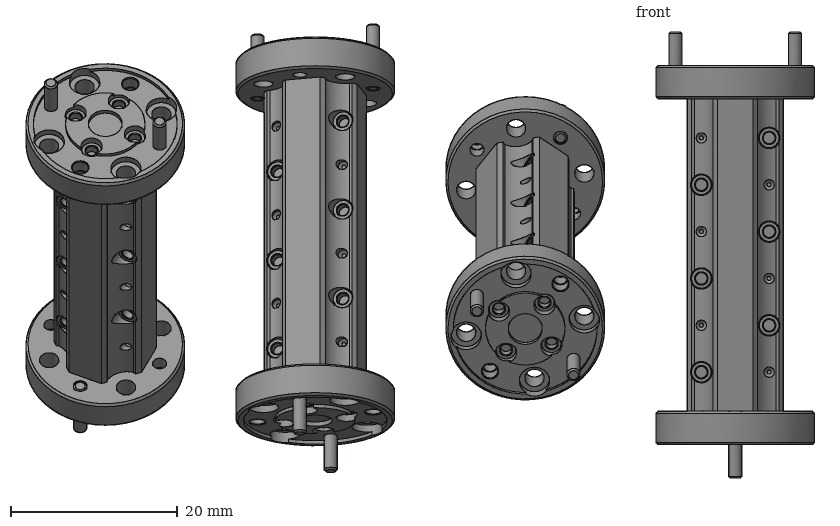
import cadquery as cq
import math

total_length = 53.45
flange_thickness = 4.0
pin_projection = 4.0
body_length = total_length - 2 * (flange_thickness + pin_projection)

body_half_width = 5.8
flat_half_width = 2.15
groove_half_width = 1.8
groove_floor_half_width = 1.65
groove_wall_depth = 0.3
groove_depth = 0.85

head_diameter = 2.35
head_gap_depth = 0.55
socket_diameter = 1.4
socket_chamfer = 0.1
socket_depth = 1.05

screw_offset = 4.05
screw_pitch = 5.6
screws_per_side = 6
screw_bore_diameter = 2.55
screw_head_y = 2.45
small_hole_diameter = 1.25
small_hole_tip_diameter = 0.5
small_hole_floor = 1.85

flange_diameter = 19.05
flange_chamfer = 0.25
recess_diameter = 17.2
recess_depth = 0.45
boss_diameter = 9.5
center_pocket_diameter = 4.05
center_pocket_depth = 0.55
bolt_circle_radius = 7.15
bolt_diameter = 2.3
bolt_bore_diameter = 3.65
bolt_bore_depth = 1.3
inner_screw_radius = 3.9
inner_bore_diameter = 2.5
inner_bore_depth = 0.8

pin_diameter = 1.6
pin_chamfer = 0.2
pin_hole_diameter = 1.65
pin_entry_diameter = 1.85
pin_entry_depth = 2.15
pin_entry_chamfer = 0.1


def cylinder(diameter, z_low, z_high, x=0.0, y=0.0):
    """Vertical cylinder centred on (x, y)."""
    return cq.Workplane("XY", origin=(x, y, z_low)).circle(diameter / 2).extrude(z_high - z_low)


def countersink(hole_diameter, width):
    """45-degree cone that widens a hole towards its mouth at Z = 0."""
    cone = cq.Solid.makeCone(hole_diameter / 2, hole_diameter / 2 + width, width)
    return cq.Workplane(cone).translate((0, 0, -width))


def polar_points(radius, start_angle, count):
    """Points equally spaced round the Z axis, angles in degrees."""
    angles = [math.radians(start_angle + i * 360 / count) for i in range(count)]
    return [(radius * math.cos(a), radius * math.sin(a)) for a in angles]


def make_body():
    w, f = body_half_width, flat_half_width
    outline = [(f, -w), (w, -f), (w, f), (f, w), (-f, w), (-w, f), (-w, -f), (-f, -w)]
    body = cq.Workplane("XY").polyline(outline).close().extrude(body_length / 2, both=True)

    chamfer_face = (w + f) / math.sqrt(2)
    wall_bottom = chamfer_face - groove_wall_depth
    groove = (
        cq.Workplane("XY")
        .moveTo(chamfer_face, -groove_half_width)
        .lineTo(wall_bottom, -groove_floor_half_width)
        .threePointArc((chamfer_face - groove_depth, 0), (wall_bottom, groove_floor_half_width))
        .lineTo(chamfer_face, groove_half_width)
        .close()
        .extrude(body_length / 2, both=True)
    )
    for corner_angle in (45, 135, 225, 315):
        body = body.cut(groove.rotate((0, 0, 0), (0, 0, 1), corner_angle))
    return body


def screw_cutter(bore_diameter, bore_height):
    """Space round a cap screw that points down, with the top of its head at Z = 0."""
    bore = cylinder(bore_diameter, -head_gap_depth, bore_height)
    bore = bore.cut(cylinder(head_diameter, -head_gap_depth, 0))
    socket = cylinder(socket_diameter, -socket_depth, 0)
    mouth = countersink(socket_diameter, socket_chamfer)
    return bore.union(socket).union(mouth)


def facing_front(cutter, x, y, z):
    """Turn a cutter's +Z end to face -Y and move its origin to (x, y, z)."""
    return cutter.rotate((0, 0, 0), (1, 0, 0), 90).translate((x, y, z))


def small_hole_cutter():
    """Blind hole with a tapered bottom at Z = 0."""
    taper = (small_hole_diameter - small_hole_tip_diameter) / 2
    return cylinder(small_hole_diameter, 0, body_half_width).faces("<Z").chamfer(taper)


def cut_side_holes(body):
    """Large and small holes alternate along Z and across X, on the -Y side and then the +Y side."""
    screw = screw_cutter(screw_bore_diameter, body_half_width)
    small_hole = small_hole_cutter()
    for i in range(screws_per_side):
        z = ((screws_per_side - 1) / 2 - i) * screw_pitch
        screw_x = screw_offset if i % 2 == 0 else -screw_offset
        for cutter in (
            facing_front(screw, screw_x, -screw_head_y, z),
            facing_front(small_hole, -screw_x, -small_hole_floor, z),
        ):
            body = body.cut(cutter)
            body = body.cut(cutter.rotate((0, 0, 0), (0, 0, 1), 180))
    return body


def make_flange():
    """Upper flange with its two pins on the X axis."""
    z_low = body_length / 2
    z_high = z_low + flange_thickness
    z_floor = z_high - recess_depth
    flange = cylinder(flange_diameter, z_low, z_high).edges().chamfer(flange_chamfer)

    recess = cylinder(recess_diameter, z_floor, z_high).cut(cylinder(boss_diameter, z_floor, z_high))
    flange = flange.cut(recess)
    flange = flange.cut(cylinder(center_pocket_diameter, z_high - center_pocket_depth, z_high))

    for x, y in polar_points(bolt_circle_radius, 45, 4):
        flange = flange.cut(cylinder(bolt_diameter, z_low, z_high, x, y))
        flange = flange.cut(cylinder(bolt_bore_diameter, z_high - bolt_bore_depth, z_high, x, y))

    screw = screw_cutter(inner_bore_diameter, inner_bore_depth)
    for x, y in polar_points(inner_screw_radius, 0, 4):
        flange = flange.cut(screw.translate((x, y, z_high - inner_bore_depth)))

    for x, y in polar_points(bolt_circle_radius, 90, 2):
        entry = cylinder(pin_entry_diameter, z_high - pin_entry_depth, z_floor, x, y)
        mouth = countersink(pin_entry_diameter, pin_entry_chamfer).translate((x, y, z_floor))
        flange = flange.cut(cylinder(pin_hole_diameter, z_low, z_floor, x, y)).cut(entry).cut(mouth)

    for x, y in polar_points(bolt_circle_radius, 0, 2):
        pin = cylinder(pin_diameter, z_low, total_length / 2, x, y).faces("<Z or >Z").chamfer(pin_chamfer)
        flange = flange.cut(cylinder(pin_hole_diameter, z_low, z_low + pin_chamfer, x, y)).union(pin)
    return flange


body = cut_side_holes(make_body())
upper_flange = make_flange()
lower_flange = upper_flange.mirror("XY").rotate((0, 0, 0), (0, 0, 1), 90)

result = body.union(upper_flange).union(lower_flange)